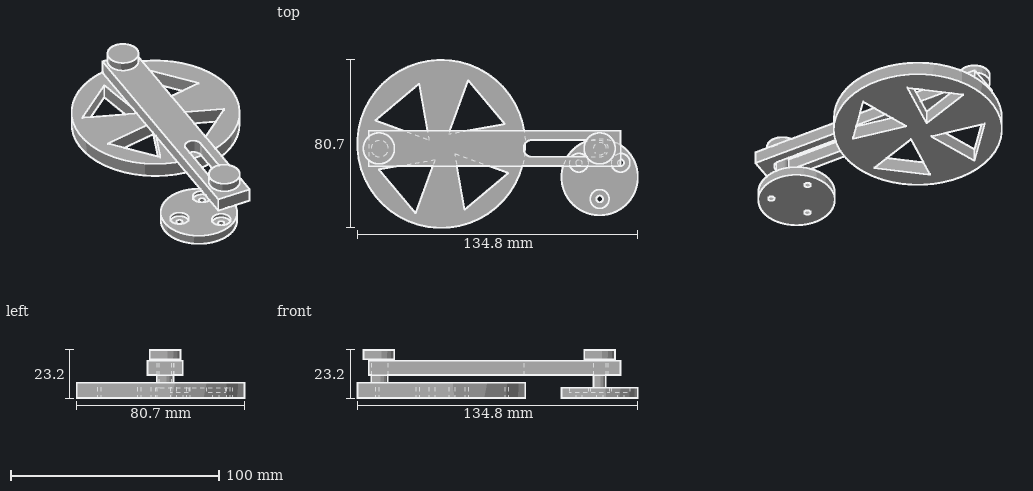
import cadquery as cq
import math

WHEEL_DIAMETER = 80.7
WHEEL_THICKNESS = 7.4

WINDOW_COUNT = 4
WINDOW_CENTRE_X = 0.3
WINDOW_CENTRE_Y = -1.3
WINDOW_OFFSET_X = 15.4
WINDOW_OFFSET_Y = 16.3
WINDOW_CIRCUMRADIUS = 15.8
WINDOW_TIP_ANGLE = 220.0

ARM_LENGTH = 121.0
ARM_WIDTH = 17.0
ARM_THICKNESS = 6.9
ARM_START_X = -34.9
ARM_Y = -2.2
ARM_BOTTOM_Z = 11.0

HEAD_DIAMETER = 15.0
HEAD_HEIGHT = 4.6
TOP_Z = 23.2
HEAD_BOTTOM_Z = TOP_Z - HEAD_HEIGHT
WHEEL_PIN_HEAD_X = -29.9
WHEEL_PIN_SHAFT_X = -29.7
WHEEL_PIN_DIAMETER = 8.1
DISC_PIN_X = 76.0
DISC_PIN_DIAMETER = 6.0

SLOT_WIDTH = 8.0
SLOT_START_X = 39.5
SLOT_END_X = DISC_PIN_X + SLOT_WIDTH / 2

OVERALL_LENGTH = 134.8
DISC_DIAMETER = 36.8
DISC_THICKNESS = 5.0
DISC_X = OVERALL_LENGTH - WHEEL_DIAMETER / 2 - DISC_DIAMETER / 2
DISC_Y = -15.9

HOLE_COUNT = 3
HOLE_CIRCLE_RADIUS = 11.6
HOLE_CIRCLE_SHIFT_Y = 1.1
FIRST_HOLE_ANGLE = -90.0
HOLE_DIAMETER = 3.1
COUNTERBORE_DIAMETER = 9.0
COUNTERBORE_DEPTH = 2.2


def polar_point(radius, degrees):
    angle = math.radians(degrees)
    return (radius * math.cos(angle), radius * math.sin(angle))


def cylinder(x, y, bottom, diameter, height):
    return cq.Workplane(origin=(x, y, bottom)).circle(diameter / 2).extrude(height)


def make_window():
    """Prism for the first window, placed relative to the window pattern's centre."""
    corners = [polar_point(WINDOW_CIRCUMRADIUS, WINDOW_TIP_ANGLE + turn) for turn in (0, 120, 240)]
    prism = cq.Workplane().polyline(corners).close().extrude(WHEEL_THICKNESS)
    return prism.translate((WINDOW_OFFSET_X, WINDOW_OFFSET_Y, 0))


def make_wheel():
    wheel = cylinder(0, 0, 0, WHEEL_DIAMETER, WHEEL_THICKNESS)
    first_window = make_window()
    for i in range(WINDOW_COUNT):
        window = first_window.rotate((0, 0, 0), (0, 0, 1), i * 360 / WINDOW_COUNT)
        wheel = wheel.cut(window.translate((WINDOW_CENTRE_X, WINDOW_CENTRE_Y, 0)))
    return wheel


def make_arm():
    arm = (
        cq.Workplane(origin=(ARM_START_X + ARM_LENGTH / 2, ARM_Y, ARM_BOTTOM_Z))
        .rect(ARM_LENGTH, ARM_WIDTH)
        .extrude(ARM_THICKNESS)
    )
    bore = cylinder(WHEEL_PIN_SHAFT_X, ARM_Y, ARM_BOTTOM_Z, WHEEL_PIN_DIAMETER, ARM_THICKNESS)
    slot = (
        cq.Workplane(origin=((SLOT_START_X + SLOT_END_X) / 2, ARM_Y, ARM_BOTTOM_Z))
        .slot2D(SLOT_END_X - SLOT_START_X, SLOT_WIDTH)
        .extrude(ARM_THICKNESS)
    )
    return arm.cut(bore).cut(slot)


def make_disc():
    disc = cylinder(DISC_X, DISC_Y, 0, DISC_DIAMETER, DISC_THICKNESS)
    angles = [FIRST_HOLE_ANGLE + i * 360 / HOLE_COUNT for i in range(HOLE_COUNT)]
    hole_points = [polar_point(HOLE_CIRCLE_RADIUS, angle) for angle in angles]
    return (
        disc.copyWorkplane(cq.Workplane(origin=(DISC_X, DISC_Y + HOLE_CIRCLE_SHIFT_Y, DISC_THICKNESS)))
        .pushPoints(hole_points)
        .cboreHole(HOLE_DIAMETER, COUNTERBORE_DIAMETER, COUNTERBORE_DEPTH)
    )


def make_pin(head_x, shaft_x, shaft_diameter, bottom):
    """Headed pin whose shaft stands on the face at the given height."""
    shaft = cylinder(shaft_x, ARM_Y, bottom, shaft_diameter, HEAD_BOTTOM_Z - bottom)
    head = cylinder(head_x, ARM_Y, HEAD_BOTTOM_Z, HEAD_DIAMETER, HEAD_HEIGHT)
    return shaft.union(head)


wheel = make_wheel()
arm = make_arm()
disc = make_disc()

pin_sizes = [
    (WHEEL_PIN_HEAD_X, WHEEL_PIN_SHAFT_X, WHEEL_PIN_DIAMETER, WHEEL_THICKNESS),
    (DISC_PIN_X, DISC_PIN_X, DISC_PIN_DIAMETER, DISC_THICKNESS),
]
pins = [make_pin(*sizes).val() for sizes in pin_sizes]

result = cq.Compound.makeCompound([wheel.val(), arm.val(), disc.val(), *pins])